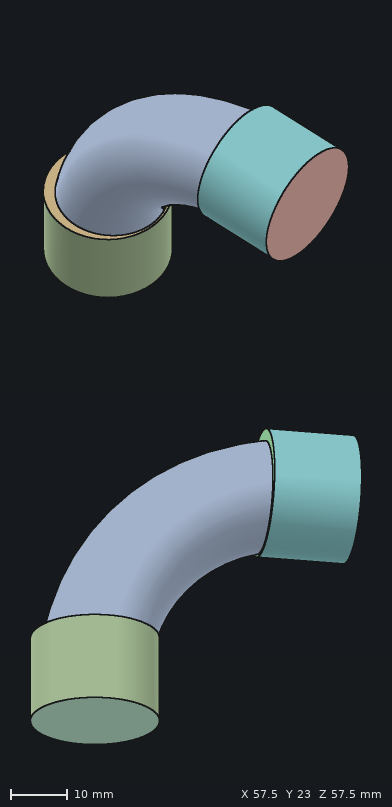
import cadquery as cq

overall_size = 57.5
collar_diameter = 23.0
collar_length = 15.8
pipe_diameter = 19.85
pipe_insertion = 7.95

collar_radius = collar_diameter / 2
outlet_face_x = overall_size - collar_radius
outlet_axis_z = overall_size - collar_radius
bend_start_z = collar_length - pipe_insertion
bend_radius = outlet_axis_z - bend_start_z


def make_bend():
    """Quarter-torus pipe joining the two collar axes."""
    return (
        cq.Workplane("XY", origin=(0, 0, bend_start_z))
        .circle(pipe_diameter / 2)
        .revolve(90, (bend_radius, 0), (bend_radius, 1))
    )


def make_collar(plane, end_center, length):
    """Cylindrical collar extruded from its outer end along the plane normal."""
    return cq.Workplane(plane, origin=end_center).circle(collar_radius).extrude(length)


inlet_collar = make_collar("XY", (0, 0, 0), collar_length)
outlet_collar = make_collar("YZ", (outlet_face_x, 0, outlet_axis_z), -collar_length)

result = make_bend().union(inlet_collar).union(outlet_collar)